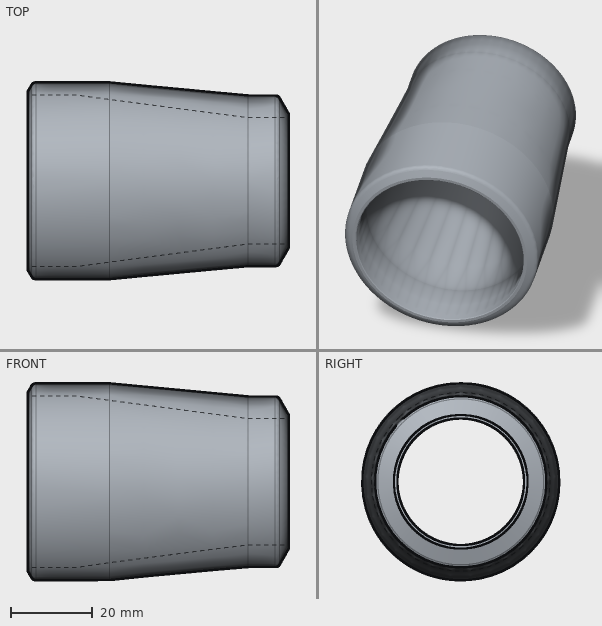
import cadquery as cq
import math

length = 64.0
large_diameter = 48.3
small_diameter = 41.9
large_bore = 42.0
small_bore = 31.0

large_collar_length = 20.0
large_bore_depth = 12.15
small_collar_length = 10.0
taper_end = length - small_collar_length

land_width = 0.9
bevel_angle = 30.0
bevel_blend_radius = 1.3
bore_chamfer = 0.2

large_radius = large_diameter / 2
small_radius = small_diameter / 2
large_bore_radius = large_bore / 2
small_bore_radius = small_bore / 2


def bevel_length(outer_radius, bore_radius):
    """Axial length of the bevel from the flat land out to the collar."""
    bevel_height = outer_radius - bore_radius - land_width
    return bevel_height * math.tan(math.radians(bevel_angle))


large_bevel_end = bevel_length(large_radius, large_bore_radius)
small_bevel_start = length - bevel_length(small_radius, small_bore_radius)

half_section = [
    (bore_chamfer, large_bore_radius),
    (0, large_bore_radius + bore_chamfer),
    (0, large_bore_radius + land_width),
    (large_bevel_end, large_radius),
    (large_collar_length, large_radius),
    (taper_end, small_radius),
    (small_bevel_start, small_radius),
    (length, small_bore_radius + land_width),
    (length, small_bore_radius),
    (taper_end, small_bore_radius),
    (large_bore_depth, large_bore_radius),
]

reducer = (
    cq.Workplane("XZ")
    .polyline(half_section)
    .close()
    .revolve(360, (0, 0, 0), (1, 0, 0))
)


def circle_at(x, radius):
    """Select the full circular edge of the given radius centred on the axis at x."""
    margin = 0.005
    reach = radius + margin
    return cq.selectors.BoxSelector(
        (x - margin, -reach, -reach), (x + margin, reach, reach), boundingbox=True
    )


for corner_x, corner_radius in (
    (large_bevel_end, large_radius),
    (small_bevel_start, small_radius),
):
    reducer = reducer.edges(circle_at(corner_x, corner_radius)).fillet(bevel_blend_radius)

result = reducer